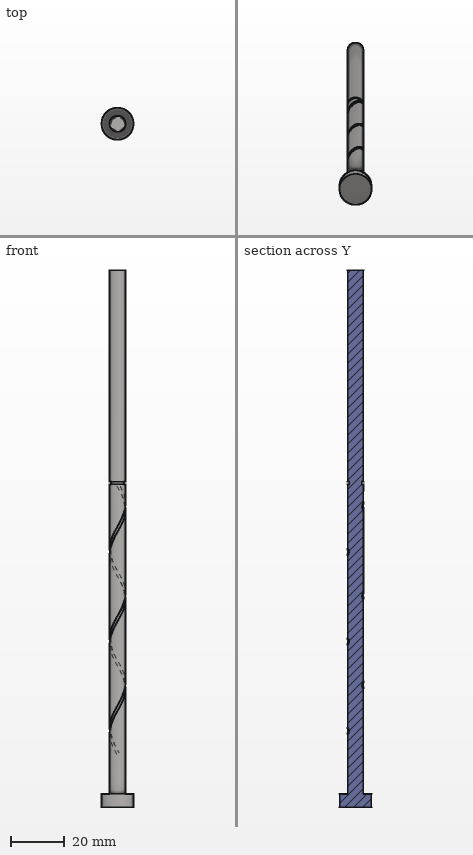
import cadquery as cq

total_length = 200.0
shaft_radius = 3.0
head_radius = 6.0
head_height = 5.0

ring_bottom = 120.25
ring_width = 1.0
ring_depth = 0.5

spiral_section_radius = 0.5
spiral_length = 100.0
spiral_turns = 3
spiral_pitch = spiral_length / spiral_turns
spiral_start_height = ring_bottom - spiral_length
spiral_start_angle = 90.0


def make_headed_pin():
    """Shaft and head revolved together about Z from a half section on the -X side."""
    return (
        cq.Workplane("XZ")
        .moveTo(0, 0)
        .lineTo(-head_radius, 0)
        .lineTo(-head_radius, head_height)
        .lineTo(-shaft_radius, head_height)
        .lineTo(-shaft_radius, total_length)
        .lineTo(0, total_length)
        .close()
        .revolve(360, (0, 0, 0), (0, 1, 0))
    )


def make_ring_cutter():
    """Collar that cuts the ring groove around the shaft."""
    return (
        cq.Workplane("XY", origin=(0, 0, ring_bottom))
        .circle(head_radius)
        .circle(shaft_radius - ring_depth)
        .extrude(ring_width)
    )


def make_spiral_cutter():
    """Round bar swept along a right-hand helix that rises to the ring groove."""
    path = cq.Wire.makeHelix(spiral_pitch, spiral_length, shaft_radius)
    section_plane = cq.Plane(
        origin=path.startPoint(), xDir=(1, 0, 0), normal=path.tangentAt(0)
    )
    return (
        cq.Workplane(section_plane)
        .circle(spiral_section_radius)
        .sweep(cq.Workplane(obj=path), isFrenet=True)
        .rotate((0, 0, 0), (0, 0, 1), spiral_start_angle)
        .translate((0, 0, spiral_start_height))
    )


result = make_headed_pin().cut(make_spiral_cutter()).cut(make_ring_cutter())